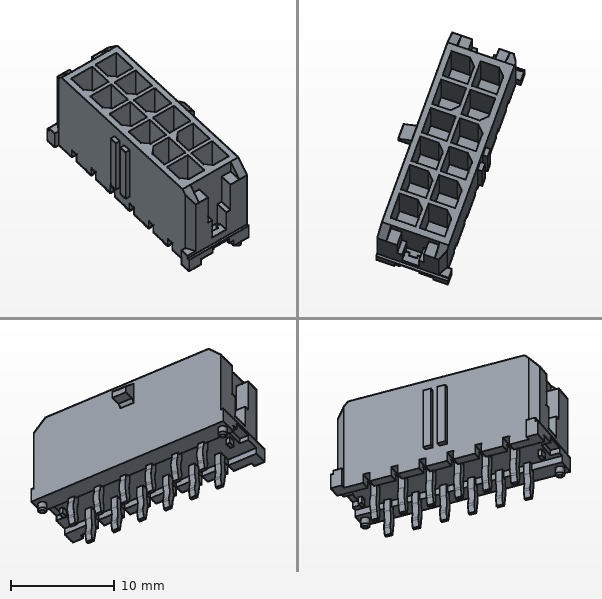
import cadquery as cq


body_length = 21.62
body_depth = 6.87
body_height = 9.88
end_bevel = 1.37
half_body = body_length / 2
bevel_base = body_height - end_bevel
body_mid_y = body_depth / 2
overlap = 0.22

corner_cut_x = 0.93
corner_cut_y = 0.53
front_projection = 0.49
shelf_height = 1.97
half_flange = 11.08
flange_height = 1.6
rib_width = 0.82
rib_spacing = 1.53

columns = 6
pitch = 3.0
pin_shift_y = 0.05
pin_mid_y = body_mid_y + pin_shift_y
cavity_size = 2.57
cavity_key = 0.69
cavity_floor = shelf_height
key_left_column = 4
unkeyed_column = 3

pin_width = 0.69
pin_root = 1.33
pin_tip = -3.21
pin_tip_width = 0.3
bend_start = -0.53
bend_end = -2.22
taper_start = -2.45
bend_offset = 0.15
notch_height = 0.97

recess_floor_x = half_body - end_bevel
recess_steps = [(4.96, bevel_base), (2.75, 4.96), (1.73, 2.53)]

nail_thickness = 0.4
nail_top = 2.3
nail_tab_width = 0.69
nail_relief_width = 0.82
nail_relief_depth = 0.29

channel_front = 1.0
channel_back = 5.0
channel_height = 0.73
window_width = 2.02
window_top = 1.33
window_depth = 0.97

peg_x = 10.4
peg_y = 5.91
peg_radius = 0.45
peg_length = 0.89
peg_chamfer = 0.18

latch_width = 1.55
latch_reach = 1.42
latch_top = 9.45
latch_nose_top = 8.13
latch_nose_base = 7.38
latch_fillet_leg = 0.33


def box(x0, x1, y0, y1, z0, z1):
    """Block between two opposite corners."""
    return cq.Workplane("XY").box(x1 - x0, y1 - y0, z1 - z0, centered=False).translate((x0, y0, z0))


def centered_box(x0, x1, width, z0, z1):
    """Block with its width centred on the middle of the housing depth."""
    return box(x0, x1, body_mid_y - width / 2, body_mid_y + width / 2, z0, z1)


def both_ends(right_end):
    """Add the mirror image of a feature of the +X end."""
    return right_end.union(right_end.mirror("YZ"))


def housing_block():
    outline = [
        (-half_body, 0),
        (half_body, 0),
        (half_body, bevel_base),
        (recess_floor_x, body_height),
        (-recess_floor_x, body_height),
        (-half_body, bevel_base),
    ]
    return cq.Workplane("XZ").polyline(outline).close().extrude(-body_depth)


def corner_cuts():
    """Slanted front corners, stopping at the shelf."""
    triangle = [
        (half_body, 0),
        (half_body, corner_cut_y),
        (half_body - corner_cut_x, 0),
    ]
    cut = cq.Workplane("XY").workplane(offset=shelf_height).polyline(triangle).close()
    return both_ends(cut.extrude(body_height - shelf_height))


def end_flanges():
    """Base flange and front foot at each end."""
    flange = box(recess_floor_x, half_flange, -front_projection, body_depth, 0, flange_height)
    flange = flange.cut(box(0, half_body - corner_cut_x, -front_projection, 0, 0, flange_height))
    foot = box(half_body - corner_cut_x, half_body, -front_projection, corner_cut_y, 0, shelf_height)
    return both_ends(flange.union(foot))


def front_ribs():
    ribs = cq.Workplane("XY")
    for side in (-1, 1):
        x0 = side * rib_spacing / 2 - rib_width / 2
        ribs = ribs.union(box(x0, x0 + rib_width, -front_projection, overlap, shelf_height, bevel_base))
    return ribs


def latch():
    profile = [
        (body_depth - overlap, latch_top),
        (body_depth, latch_top),
        (body_depth + latch_reach, latch_nose_top),
        (body_depth + latch_reach, latch_nose_base),
        (body_depth + latch_fillet_leg, latch_nose_base),
        (body_depth, latch_nose_base - latch_fillet_leg),
        (body_depth - overlap, latch_nose_base - latch_fillet_leg),
    ]
    return cq.Workplane("YZ").polyline(profile).close().extrude(latch_width / 2, both=True)


def column_x(column):
    return (column - (columns - 1) / 2) * pitch


def cavity(column, row):
    """Square contact cavity with one front corner filled as a polarising key."""
    half = cavity_size / 2
    outline = [(-half, half), (-half, -half)]
    if row == 1 and column == unkeyed_column:
        outline += [(half, -half)]
    else:
        outline += [(half - cavity_key, -half), (half, -half + cavity_key)]
    outline += [(half, half)]
    if column == key_left_column:
        outline = [(-x, y) for x, y in outline]
    center_y = body_mid_y + (row - 0.5) * pitch
    solid = cq.Workplane("XY").polyline(outline).close().extrude(body_height - cavity_floor)
    return solid.translate((column_x(column), center_y, cavity_floor))


def end_recesses():
    recess = cq.Workplane("XY")
    ceiling = body_height
    for width, floor in recess_steps:
        recess = recess.union(centered_box(recess_floor_x, half_flange, width, floor, ceiling))
        ceiling = floor
    return both_ends(recess)


def nail_slots():
    """Sunken strip over each nail, with a narrower relief beside it."""
    slot_width, slot_top = recess_steps[-1]
    nail_face = recess_floor_x + nail_thickness
    strip = centered_box(recess_floor_x, nail_face, slot_width, nail_top, slot_top)
    relief = centered_box(
        nail_face, nail_face + nail_relief_depth, nail_relief_width, nail_top, slot_top
    )
    return both_ends(strip.union(relief))


def nail_tabs():
    nail_face = recess_floor_x + nail_thickness
    return both_ends(centered_box(recess_floor_x, nail_face, nail_tab_width, 0, channel_height + overlap))


def underside_cuts():
    """Channel along the whole underside and a window through each flange."""
    channel = box(-half_flange, half_flange, channel_front, channel_back, 0, channel_height)
    window = centered_box(half_flange - window_depth, half_flange, window_width, 0, window_top)
    return channel.union(both_ends(window))


def pin_notch(column):
    """Opening under the front wall in line with a front pin."""
    pin_face = pin_mid_y - pitch / 2 - pin_width / 2
    left = column_x(column) - pin_width / 2
    return box(left, left + pin_width, 0, pin_face, 0, notch_height)


def pin_pair(column):
    """Kinked solder tails, bowed away from each other."""
    half = pin_width / 2
    half_tip = pin_tip_width / 2
    bend_mid = (bend_start + bend_end) / 2
    profile = (
        cq.Workplane("YZ")
        .moveTo(-half, pin_root)
        .lineTo(-half, bend_start)
        .threePointArc((-half + bend_offset, bend_mid), (-half, bend_end))
        .lineTo(-half, taper_start)
        .lineTo(-half_tip, pin_tip)
        .lineTo(half_tip, pin_tip)
        .lineTo(half, taper_start)
        .lineTo(half, bend_end)
        .threePointArc((half + bend_offset, bend_mid), (half, bend_start))
        .lineTo(half, pin_root)
        .close()
    )
    back_pin = profile.extrude(half, both=True).translate((0, pitch / 2, 0))
    pair = back_pin.union(back_pin.mirror("XZ"))
    return pair.translate((column_x(column), pin_mid_y, 0))


def locating_pegs():
    peg = cq.Workplane("XY").circle(peg_radius).extrude(-peg_length)
    peg = peg.faces("<Z").chamfer(peg_chamfer)
    return both_ends(peg.translate((peg_x, peg_y, 0)))


result = housing_block().cut(corner_cuts()).union(end_flanges())
result = result.union(front_ribs()).union(latch())
result = result.cut(end_recesses()).cut(nail_slots()).cut(underside_cuts())
for column in range(columns):
    for row in (0, 1):
        result = result.cut(cavity(column, row))
    result = result.cut(pin_notch(column)).union(pin_pair(column))
result = result.union(nail_tabs()).union(locating_pegs())